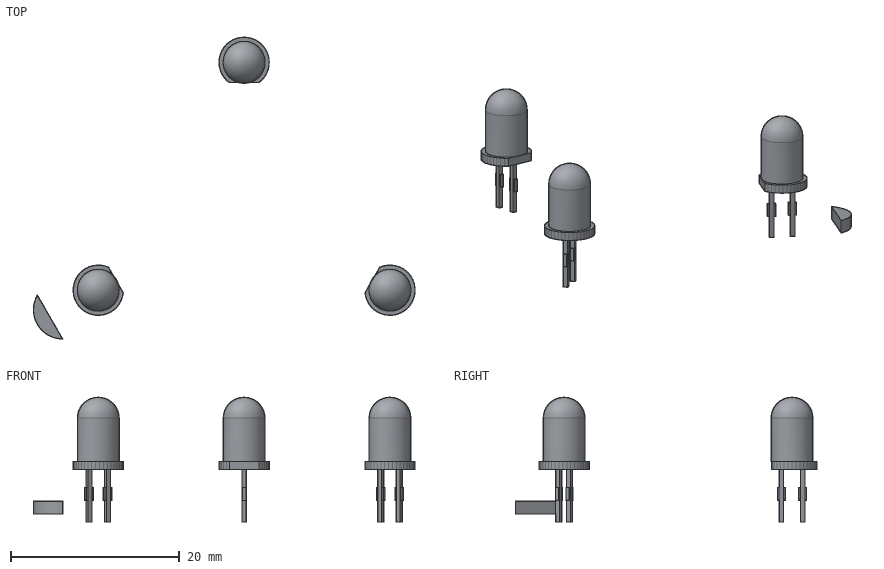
import cadquery as cq
import math

overall_length = 45.2
row_distance = 27.0

lens_radius = 2.5
lens_height = 5.1
flange_radius = 3.0
flange_height = 1.0
flange_facets = 40
flat_facets = 8

lead_length = 6.2
lead_width = 0.55
lead_spacing = 2.55
standoff_width = 0.95
standoff_thickness = 0.4
standoff_bottom = 2.58
standoff_height = 1.55

wedge_radius = 3.5
wedge_arc_angle = 120.0
wedge_height = 1.55
wedge_bottom = 0.95
wedge_offset_x = 4.2
wedge_offset_y = 2.3

rear_facing = -90.0
left_facing = 30.0
right_facing = 150.0

facet_angle = 360 / flange_facets
flange_corner_angles = [
    facet_angle * (flat_facets / 2 + step)
    for step in range(flange_facets - flat_facets + 1)
]

flange_reach = max(
    flange_radius * math.cos(math.radians(right_facing + angle))
    for angle in flange_corner_angles
)
half_row = (overall_length - flange_reach - wedge_offset_x - wedge_radius) / 2


def make_lens():
    """Cylinder with a hemispherical top, standing on the flange."""
    cylinder_bottom = lead_length + flange_height
    dome_base = cylinder_bottom + lens_height
    return (
        cq.Workplane("XZ")
        .moveTo(0, cylinder_bottom)
        .lineTo(lens_radius, cylinder_bottom)
        .lineTo(lens_radius, dome_base)
        .radiusArc((0, dome_base + lens_radius), -lens_radius)
        .close()
        .revolve(360, (0, 0, 0), (0, 1, 0))
    )


def make_flange():
    """Faceted disc with a flat facing +X."""
    corners = [
        (flange_radius * math.cos(math.radians(angle)), flange_radius * math.sin(math.radians(angle)))
        for angle in flange_corner_angles
    ]
    return (
        cq.Workplane("XY", origin=(0, 0, lead_length))
        .polyline(corners)
        .close()
        .extrude(flange_height)
    )


def make_leads():
    """Two square leads spread along X, each with a stand-off plate widening it along X."""
    positions = [(-lead_spacing / 2, 0), (lead_spacing / 2, 0)]
    leads = (
        cq.Workplane("XY")
        .pushPoints(positions)
        .rect(lead_width, lead_width)
        .extrude(lead_length)
    )
    standoffs = (
        cq.Workplane("XY", origin=(0, 0, standoff_bottom))
        .pushPoints(positions)
        .rect(standoff_width, standoff_thickness)
        .extrude(standoff_height)
    )
    return leads.union(standoffs)


def make_led(x, y, facing):
    """One LED with its axis at (x, y) and its flat turned to the given direction."""
    led = make_flange().union(make_lens()).union(make_leads())
    return led.rotate((0, 0, 0), (0, 0, 1), facing).translate((x, y, 0))


def make_wedge():
    """Circular segment whose straight side faces the same way as the left LED's flat."""
    half_angle = math.radians(wedge_arc_angle / 2)
    chord_x = -wedge_radius * math.cos(half_angle)
    chord_half = wedge_radius * math.sin(half_angle)
    wedge = (
        cq.Workplane("XY", origin=(0, 0, wedge_bottom))
        .moveTo(chord_x, chord_half)
        .threePointArc((-wedge_radius, 0), (chord_x, -chord_half))
        .close()
        .extrude(wedge_height)
    )
    arc_centre = (-half_row - wedge_offset_x, -wedge_offset_y, 0)
    return wedge.rotate((0, 0, 0), (0, 0, 1), left_facing).translate(arc_centre)


led_places = [
    (0, row_distance, rear_facing),
    (-half_row, 0, left_facing),
    (half_row, 0, right_facing),
]

leds = [make_led(x, y, facing) for x, y, facing in led_places]
wedge = make_wedge()

result = cq.Compound.makeCompound([led.val() for led in leds] + [wedge.val()])